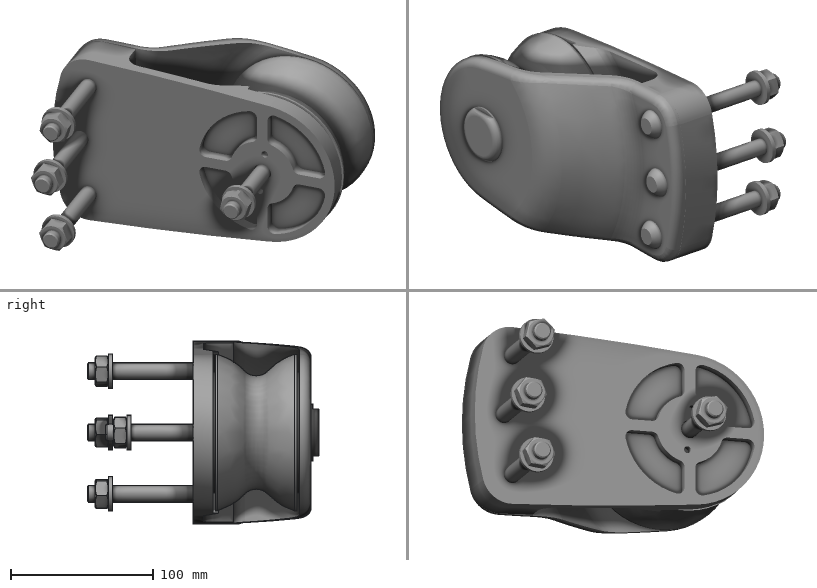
import cadquery as cq
import math


rear_radius = 190.0
corner_radius = 21.4
base_nose_radius = 54.7
base_rear_x = -158.5
base_corner_z = 65.0
base_side_angle = 5.8
cover_nose_radius = 54.9
cover_rear_x = -158.2
cover_corner_z = 64.5
cover_side_angle = 8.0

block_top = 28.5
floor_y = 7.5
wall_x = -105.5
wall_bow = 2.0
floor_fillet = 10.7
seat_y = 14.0
seat_radius = 59.0
rim_y = 18.0
rim_radius = 59.5
rim_fillet = 10.7

pocket_depth = 8.5
pocket_inner_radius = 24.3
pocket_outer_radius = 48.5
spoke_width = 8.0
pocket_fillet = 5.1

cover_thickness = 8.3
cover_low_y = block_top + cover_thickness
cover_high_y = 83.0
bend_axis_x = 15.5
bend_sum = 164.9
outer_bend = 31.0
inner_bend = 19.6
cover_edge_fillet = 6.0

sheave_mid_y = 44.5
sheave_half_width = 28.6
flange_radius = 55.0
flange_lip = 1.5
flank_radius = 49.5
flank_half_width = 15.4
throat_radius = 40.0
throat_edge_radius = 42.7
throat_half_width = 7.5
bearing_radius = 42.7

pin_radius = 19.97
pin_top = 88.6
pin_edge_fillet = 5.1
flat_half_width = 16.7
flat_bottom = 84.4
spanner_hole_diameter = 5.0
spanner_hole_circle = 15.2
spanner_hole_angle = 83.0
pin_hole_depth = 6.5
pivot_hole_radius = 6.51

bolt_radius = 6.0
tip_chamfer = 0.9
head_radius = 10.5
head_top_radius = 6.0
head_height = 5.8
head_mid_radius = 8.8
head_mid_height = 3.2
washer_radius = 12.28
washer_thickness = 3.0
nut_corner_diameter = 22.2
nut_height = 9.5
nut_face_radius = 9.2
nut_chamfer = 1.0
side_bolt_x = -131.1
side_bolt_z = 43.1
middle_bolt_x = -137.3
rear_bolt_tip = -74.3
rear_washer_y = -56.5
pivot_bolt_tip = -61.5
pivot_washer_y = -43.5
nut_turn = 16
other_nut_turn = -7


diagonal = math.sqrt(0.5)
bend_tangent = math.tan(math.radians(45 / 2))


def revolve_about_y(profile):
    """Revolve a closed (radius, height) profile about the Y axis."""
    return profile.close().revolve(360, (0, 0, 0), (0, 1, 0))


def cylinder(radius, bottom, top, x=0, z=0):
    """Cylinder along Y between two heights."""
    return cq.Workplane("XZ", origin=(x, bottom, z)).circle(radius).extrude(bottom - top)


def outline_prism(nose_radius, rear_x, corner_z, side_angle, bottom, top):
    """Tapered outline with round nose, bowed sides and bowed rear, extruded along Y."""
    angle = math.radians(side_angle)
    nose_x = nose_radius * math.sin(angle)
    nose_z = nose_radius * math.cos(angle)
    rear_centre_x = rear_x + rear_radius
    corner_x = rear_centre_x - math.sqrt(rear_radius**2 - corner_z**2)
    half_way = math.asin(corner_z / rear_radius) / 2
    prism = (
        cq.Workplane("XZ", origin=(0, bottom, 0))
        .moveTo(nose_radius, 0)
        .threePointArc(
            (nose_radius * diagonal, nose_radius * diagonal),
            (nose_x, nose_z),
        )
        .tangentArcPoint((corner_x, corner_z), relative=False)
        .threePointArc(
            (rear_centre_x - rear_radius * math.cos(half_way), rear_radius * math.sin(half_way)),
            (rear_x, 0),
        )
        .mirrorX()
        .extrude(bottom - top)
    )
    return prism.edges("|Y").edges("<X").fillet(corner_radius)


def base_outline():
    return outline_prism(base_nose_radius, base_rear_x, base_corner_z, base_side_angle, 0, block_top)


def make_base():
    base = base_outline()
    opening_z = base_corner_z + floor_fillet
    opening = (
        cq.Workplane("XZ", origin=(0, floor_y, 0))
        .moveTo(wall_x - wall_bow, -opening_z)
        .threePointArc((wall_x, 0), (wall_x - wall_bow, opening_z))
        .lineTo(2 * base_nose_radius, opening_z)
        .lineTo(2 * base_nose_radius, -opening_z)
        .close()
        .extrude(-2 * block_top)
        .faces("<Y").edges("<X").fillet(floor_fillet)
    )
    foot_tangent = rim_fillet * bend_tangent
    foot_radius = rim_radius + rim_y - floor_y
    seat = revolve_about_y(
        cq.Workplane("XY")
        .lineTo(foot_radius + foot_tangent, 0)
        .lineTo(foot_radius + foot_tangent, floor_y)
        .radiusArc(
            (foot_radius - foot_tangent * diagonal, floor_y + foot_tangent * diagonal), rim_fillet
        )
        .lineTo(rim_radius, rim_y)
        .lineTo(seat_radius, rim_y)
        .lineTo(seat_radius, seat_y)
        .lineTo(0, seat_y)
    )
    seat = seat.intersect(base_outline())
    return base.cut(opening).union(seat)


def make_pocket():
    """Pocket between two spokes, in the +X +Z quadrant."""
    gap = spoke_width / 2

    def on_circle(radius):
        return math.sqrt(radius**2 - gap**2)

    inner = on_circle(pocket_inner_radius)
    outer = on_circle(pocket_outer_radius)
    inner_mid = pocket_inner_radius * diagonal
    outer_mid = pocket_outer_radius * diagonal
    return (
        cq.Workplane("XZ")
        .moveTo(inner, gap)
        .lineTo(outer, gap)
        .threePointArc((outer_mid, outer_mid), (gap, outer))
        .lineTo(gap, inner)
        .threePointArc((inner_mid, inner_mid), (inner, gap))
        .close()
        .extrude(-pocket_depth)
        .edges("|Y").fillet(pocket_fillet)
    )


def make_cover():
    """Plate with two concentric conical bends, trimmed to the outline."""
    reach = 2 * abs(cover_rear_x)
    low_under = block_top
    high_under = cover_high_y - cover_thickness
    under_sum = bend_sum - cover_thickness / diagonal

    top_high_r = bend_sum - cover_high_y
    top_low_r = bend_sum - cover_low_y
    under_high_r = under_sum - high_under
    under_low_r = under_sum - low_under

    top_high = outer_bend * bend_tangent
    top_low = inner_bend * bend_tangent
    under_high = (outer_bend - cover_thickness) * bend_tangent
    under_low = (inner_bend + cover_thickness) * bend_tangent

    top_high_end = (top_high_r + top_high * diagonal, cover_high_y - top_high * diagonal)
    top_low_start = (top_low_r - top_low * diagonal, cover_low_y + top_low * diagonal)
    under_low_end = (under_low_r - under_low * diagonal, low_under + under_low * diagonal)
    under_high_start = (under_high_r + under_high * diagonal, high_under - under_high * diagonal)

    bent = revolve_about_y(
        cq.Workplane("XY")
        .moveTo(0, cover_high_y)
        .lineTo(top_high_r - top_high, cover_high_y)
        .tangentArcPoint(top_high_end, relative=False)
        .lineTo(*top_low_start)
        .tangentArcPoint((top_low_r + top_low, cover_low_y), relative=False)
        .lineTo(reach, cover_low_y)
        .lineTo(reach, low_under)
        .lineTo(under_low_r + under_low, low_under)
        .tangentArcPoint(under_low_end, relative=False)
        .lineTo(*under_high_start)
        .tangentArcPoint((under_high_r - under_high, high_under), relative=False)
        .lineTo(0, high_under)
    ).translate((bend_axis_x, 0, 0))
    outline = outline_prism(
        cover_nose_radius, cover_rear_x, cover_corner_z, cover_side_angle, block_top, pin_top
    )
    cover = bent.intersect(outline)
    return cover.faces(">Y").edges(">X").fillet(cover_edge_fillet)


def make_sheave():
    top = sheave_mid_y + sheave_half_width
    bottom = sheave_mid_y - sheave_half_width
    upper_throat_edge = (throat_edge_radius, sheave_mid_y + throat_half_width)
    lower_throat_edge = (throat_edge_radius, sheave_mid_y - throat_half_width)
    wheel = revolve_about_y(
        cq.Workplane("XY")
        .moveTo(0, bottom)
        .lineTo(flange_radius, bottom)
        .lineTo(flange_radius, bottom + flange_lip)
        .threePointArc((flank_radius, sheave_mid_y - flank_half_width), lower_throat_edge)
        .threePointArc((throat_radius, sheave_mid_y), upper_throat_edge)
        .threePointArc((flank_radius, sheave_mid_y + flank_half_width), (flange_radius, top - flange_lip))
        .lineTo(flange_radius, top)
        .lineTo(0, top)
    )
    lower_bearing = cylinder(bearing_radius, seat_y, bottom)
    upper_bearing = cylinder(bearing_radius, top, cover_high_y - cover_thickness)
    return wheel.union(lower_bearing).union(upper_bearing)


def make_pin_head():
    head = cylinder(pin_radius, cover_high_y - cover_thickness, pin_top)
    head = head.faces(">Y").edges().fillet(pin_edge_fillet)
    for side in (1, -1):
        flat = (
            cq.Workplane("XY")
            .box(2 * pin_radius, pin_top, pin_radius, centered=(True, False, True))
            .translate((0, flat_bottom, side * (flat_half_width + pin_radius / 2)))
        )
        head = head.cut(flat)
    return head


def make_fastener(x, z, top, washer_y, tip, nut_angle):
    """Bolt shank with its washer and chamfered hexagon nut."""
    shank = cylinder(bolt_radius, tip, top, x, z).faces("<Y").chamfer(tip_chamfer)
    nut_top = washer_y - washer_thickness
    washer = cylinder(washer_radius, nut_top, washer_y, x, z)
    hexagon = (
        cq.Workplane("XZ")
        .polygon(6, nut_corner_diameter)
        .extrude(nut_height)
        .rotate((0, 0, 0), (0, 1, 0), -nut_angle)
    )
    nut_corner_radius = nut_corner_diameter / 2
    turned = revolve_about_y(
        cq.Workplane("XY")
        .lineTo(nut_face_radius, 0)
        .lineTo(nut_corner_radius, -nut_chamfer)
        .lineTo(nut_corner_radius, nut_chamfer - nut_height)
        .lineTo(nut_face_radius, -nut_height)
        .lineTo(0, -nut_height)
    )
    nut = hexagon.intersect(turned).translate((x, nut_top, z))
    return shank.union(washer).union(nut)


def make_bolt_head(x, z):
    """Domed head standing on the cover."""
    dome = revolve_about_y(
        cq.Workplane("XY")
        .lineTo(head_radius, 0)
        .threePointArc((head_mid_radius, head_mid_height), (head_top_radius, head_height))
        .lineTo(0, head_height)
    )
    return dome.translate((x, cover_low_y, z))


def cut_pockets(body):
    pocket = make_pocket()
    for quarter in range(4):
        body = body.cut(pocket.rotate((0, 0, 0), (0, 1, 0), 90 * quarter))
    return body


def cut_pin_holes(body):
    """Two spanner holes and the clearance hole in the lower end of the pivot pin."""
    for turn in (0, 180):
        angle = math.radians(spanner_hole_angle + turn)
        x = spanner_hole_circle * math.cos(angle)
        z = spanner_hole_circle * math.sin(angle)
        body = body.cut(cylinder(spanner_hole_diameter / 2, 0, pin_hole_depth, x, z))
    return body.cut(cylinder(pivot_hole_radius, 0, pin_hole_depth))


result = cut_pin_holes(cut_pockets(make_base()))
result = result.union(make_cover()).union(make_sheave()).union(make_pin_head())

rear_bolts = [
    (side_bolt_x, side_bolt_z, nut_turn),
    (middle_bolt_x, 0, other_nut_turn),
    (side_bolt_x, -side_bolt_z, other_nut_turn),
]
for bolt_x, bolt_z, turn in rear_bolts:
    result = result.union(make_fastener(bolt_x, bolt_z, cover_low_y, rear_washer_y, rear_bolt_tip, turn))
    result = result.union(make_bolt_head(bolt_x, bolt_z))
result = result.union(make_fastener(0, 0, seat_y, pivot_washer_y, pivot_bolt_tip, nut_turn))